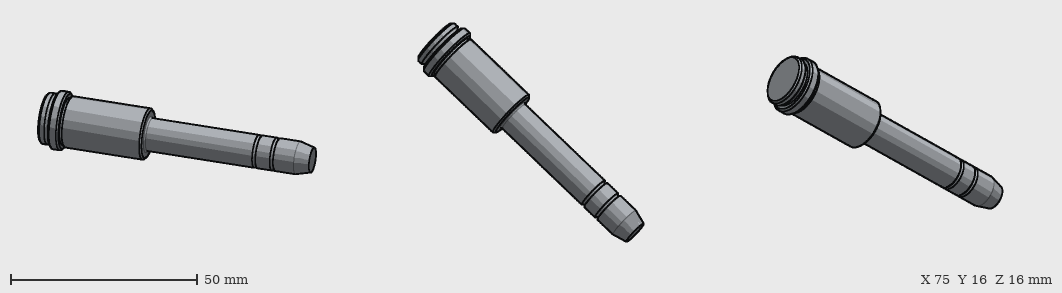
import cadquery as cq
import math

total_length = 75.0
body_radius = 14.0 / 2
collar_radius = 16.0 / 2
rod_radius = 9.0 / 2
edge_chamfer = 0.5

head_end = 1.9
collar_start = 3.0
collar_end = 6.0
body_start = 6.8
body_end = 29.0
tip_start = 70.95

neck_depth = 0.5
neck_radius = body_radius - neck_depth

root_fillet = 0.45
groove_starts = (59.4, 64.35)
groove_width = 0.9
groove_depth = groove_width / 2
tip_angle = 15.0
tip_radius = rod_radius - (total_length - tip_start) * math.tan(math.radians(tip_angle))


def add_groove(profile, start):
    """Continue the profile along the rod and around one round groove."""
    bottom = (start + groove_width / 2, rod_radius - groove_depth)
    end = (start + groove_width, rod_radius)
    return profile.lineTo(start, rod_radius).threePointArc(bottom, end)


profile = (
    cq.Workplane("XY")
    .lineTo(0, body_radius - edge_chamfer)
    .lineTo(edge_chamfer, body_radius)
    .lineTo(head_end, body_radius)
    .spline([(collar_start, neck_radius)], tangents=[(0, -1), (1, 0)], includeCurrent=True)
    .lineTo(collar_start, collar_radius - edge_chamfer)
    .lineTo(collar_start + edge_chamfer, collar_radius)
    .lineTo(collar_end - edge_chamfer, collar_radius)
    .lineTo(collar_end, collar_radius - edge_chamfer)
    .lineTo(collar_end, neck_radius)
    .spline([(body_start, body_radius)], tangents=[(1, 0), (0, 1)], includeCurrent=True)
)

profile = (
    profile.lineTo(body_end - edge_chamfer, body_radius)
    .lineTo(body_end, body_radius - edge_chamfer)
    .lineTo(body_end, rod_radius + root_fillet)
    .radiusArc((body_end + root_fillet, rod_radius), -root_fillet)
)

for groove_start in groove_starts:
    profile = add_groove(profile, groove_start)
profile = (
    profile.lineTo(tip_start, rod_radius)
    .lineTo(total_length, tip_radius)
    .lineTo(total_length, 0)
    .close()
)

result = profile.revolve(360, (0, 0, 0), (1, 0, 0))